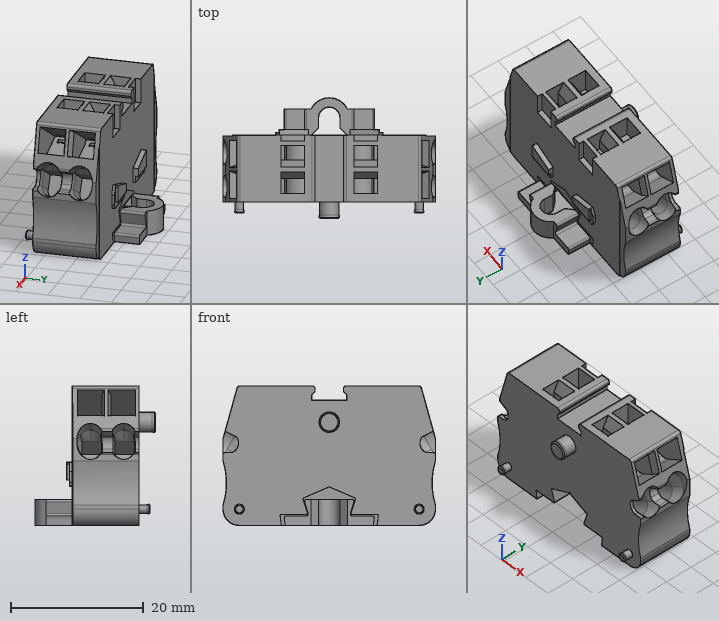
import cadquery as cq
import math

width = 31.97
height = 21.0
housing_depth = 9.97
back_skin = 0.1
back_skin_half_width = 14.55
back_face = housing_depth + back_skin
half_width = width / 2
shoulder_z = 13.08
top_half_width = 13.78
side_lean = math.atan2(half_width - top_half_width, height - shoulder_z)
corner_radius = 2.45
grip_top_z = 9.72
grip_bottom_z = 3.07
grip_depth = 0.5
top_corner_radius = 0.5

groove_half_width = 2.62
groove_lip_half_width = 2.1
groove_floor_z = 18.85
groove_wall_top_z = 19.65
groove_lip_z = groove_wall_top_z + groove_half_width - groove_lip_half_width
lip_radius = 0.45

recess_apex_z = 5.82
recess_profile = [(7.2, 0), (7.42, 1.65), (3.2, 1.65), (4.0, 4.1)]
recess_radius = 0.2
foot_profile = [(6.62, 0), (6.8, 1.45), (3.07, 1.45), (3.8, 3.93)]
foot_radius = 0.3
foot_height = foot_profile[-1][1]
foot_back = 14.0
nose_radius = 3.05
slot_radius = 1.6
nose_y = 12.65
funnel_y = 11.15

row_pitch = 5.0

window_inner_x = 3.75
window_length = 3.55
window_width = 3.23
windows_y = (1.28, 5.3)
window_slope_width = 1.0
window_slope_depth = 1.92
window_drum_radius = 2.4
window_drum_x = 4.4
window_drum_top_depth = 3.85
window_depth = 5.75

half_window_y = 9.2
half_window_depth = 3.85

entry_tilt = math.radians(30.0)

pocket_bottom_z = 16.53
pocket_top_z = 20.35
pocket_width = 4.1
pockets_y = (0.58, 5.18)
pocket_floor_length = 3.55
pocket_end_radius = 1.92
pocket_end_slope = math.radians(45.0)
pocket_flare = 0.4
pocket_flare_depth = 1.28

entry_rows_y = (2.33, 2.33 + row_pitch)
throat_x = -14.95
throat_z = 12.18
mouth_size = (2.2, 2.62)
throat_size = (2.0, 2.5)
mouth_length = 4.48
taper_length = 2.15
wire_hole_radius = 1.47
wire_hole_roof = 1.73
wire_hole_floor = -2.05
wire_hole_shift = 0.15
wire_hole_length = 3.85

channel_length = 6.4
channel_top_z = 14.77
channel_bottom_z = 10.58
channel_roof = [(-15.57, 14.15), (-13.95, 13.3)]
channel_back_middle = (-13.65, 12.55)
channel_back_bottom = (-13.95, 11.5)
channel_bend_middle = (-14.25, 11.15)
channel_floor = [(-14.67, 10.95), (-15.73, 10.95)]
channel_lip_middle = (-15.92, 10.87)
channel_overrun = 0.32

latch_base_thickness = 0.4
latch_thickness = 0.83
latch_base_profile = [
    (8.05, 6.52), (8.05, 8.12), (7.45, 9.53), (3.13, 8.2), (3.13, 5.88), (7.77, 5.88),
]
latch_profile = [(7.55, 6.85), (7.55, 9.25), (7.45, 9.53), (3.13, 8.2), (3.13, 6.85)]

main_pin_z = 15.55
main_pin_profile = [(0, 0), (3.0, 0), (3.0, 1.95), (3.07, 2.3), (2.62, 2.5), (0, 2.5)]
small_pin_x = half_width - corner_radius
small_pin_z = corner_radius
small_pin_profile = [(0, 0), (1.3, 0), (1.3, 1.15), (1.5, 1.47), (1.12, 1.65), (0, 1.65)]


def along_y(sketch, start, end):
    """Extrude a closed XZ sketch from Y = start to Y = end."""
    return sketch.extrude(start - end).translate((0, start, 0))


def mirrored(solid):
    """Add the copy on the other side of the X = 0 plane."""
    return solid.union(solid.mirror("YZ"))


def symmetric_prism(right_side, start, end):
    """Prism along Y whose profile is the given right-hand XZ points and their mirror images."""
    left_side = [(-x, z) for x, z in reversed(right_side) if x > 0]
    return along_y(cq.Workplane("XZ").polyline(right_side + left_side).close(), start, end)


def round_edges(prism, corners, middle_y, radius):
    """Round the Y-parallel edges at the given XZ corners and at their mirror images."""
    for x, z in corners:
        for side in (-1, 1):
            edge = cq.selectors.NearestToPointSelector((side * x, middle_y, z))
            prism = prism.edges(edge).fillet(radius)
    return prism


def make_outline(start, end):
    """Full outer profile, with the marker groove but without the recess."""
    grip_mid_z = (grip_top_z + grip_bottom_z) / 2
    right_half = (
        cq.Workplane("XZ")
        .lineTo(half_width - corner_radius, 0)
        .radiusArc((half_width, corner_radius), -corner_radius)
        .lineTo(half_width, grip_bottom_z)
        .threePointArc((half_width - grip_depth, grip_mid_z), (half_width, grip_top_z))
        .lineTo(half_width, shoulder_z)
        .lineTo(top_half_width, height)
        .lineTo(groove_lip_half_width + lip_radius, height)
        .radiusArc((groove_lip_half_width, height - lip_radius), -lip_radius)
        .lineTo(groove_lip_half_width, groove_lip_z)
        .lineTo(groove_half_width, groove_wall_top_z)
        .lineTo(groove_half_width, groove_floor_z)
        .lineTo(0, groove_floor_z)
        .close()
    )
    outline = mirrored(along_y(right_half, start, end))
    return round_edges(outline, [(top_half_width, height)], (start + end) / 2, top_corner_radius)


def make_housing():
    """Housing with the recess closed at the back by a thin skin."""
    recess = symmetric_prism(recess_profile + [(0, recess_apex_z)], 0, housing_depth)
    recess = round_edges(recess, recess_profile[1:], housing_depth / 2, recess_radius)
    skin_limits = cq.Workplane("XY").box(
        2 * back_skin_half_width, back_skin, height, centered=(True, False, False)
    ).translate((0, housing_depth, 0))
    skin = make_outline(0, back_face).intersect(skin_limits)
    return make_outline(0, housing_depth).cut(recess).union(skin)


def make_foot():
    """Foot behind the housing, with a round nose reaching past its flat back."""
    foot = symmetric_prism(foot_profile, housing_depth, foot_back)
    foot = round_edges(foot, foot_profile[1:], (housing_depth + foot_back) / 2, foot_radius)
    behind_housing = cq.Workplane("XY").box(
        width, foot_back, height, centered=(True, False, False)
    ).translate((0, housing_depth, 0))
    nose = cq.Workplane("XY").center(0, nose_y).circle(nose_radius).extrude(foot_height)
    return foot.union(nose.intersect(behind_housing))


def make_foot_slot():
    """Round-ended slot through the foot and the skin, opening out towards the housing."""
    funnel_half_width = slot_radius + funnel_y - housing_depth
    return (
        cq.Workplane("XY")
        .moveTo(-funnel_half_width, housing_depth)
        .lineTo(-slot_radius, funnel_y)
        .lineTo(-slot_radius, nose_y)
        .threePointArc((0, nose_y + slot_radius), (slot_radius, nose_y))
        .lineTo(slot_radius, funnel_y)
        .lineTo(funnel_half_width, housing_depth)
        .close()
        .extrude(foot_height)
    )


def make_window(front_y, slope_at_back):
    """Top opening on the +X side; its floor is a drum lying along Y."""
    back_y = front_y + window_width
    slope = -window_slope_width if slope_at_back else window_slope_width
    rib_y, outer_y = (back_y, front_y) if slope_at_back else (front_y, back_y)
    opening = (
        cq.Workplane("YZ")
        .polyline([
            (outer_y, height),
            (rib_y, height),
            (rib_y + slope, height - window_slope_depth),
            (rib_y + slope, height - window_depth),
            (outer_y, height - window_depth),
        ])
        .close()
        .extrude(window_length)
        .translate((window_inner_x, 0, 0))
    )
    drum_z = height - window_drum_top_depth - window_drum_radius
    drum = along_y(
        cq.Workplane("XZ").center(window_drum_x, drum_z).circle(window_drum_radius), front_y, back_y
    )
    return opening.cut(drum)


def make_half_window():
    """Opening on the +X side cut open by the back face."""
    return cq.Workplane("XY").box(
        window_length, back_face - half_window_y, half_window_depth, centered=False
    ).translate((window_inner_x, half_window_y, height - half_window_depth))


def make_pocket(front_y, rib_at_back):
    """Pocket in the -X side; the wall next to the middle rib flares out at the mouth."""
    back_y = front_y + pocket_width
    inward = (math.cos(entry_tilt), -math.sin(entry_tilt))
    upward = (math.sin(entry_tilt), math.cos(entry_tilt))

    def side_face_x(z):
        return -half_width + (z - shoulder_z) * math.tan(side_lean)

    def inside(start, along, up):
        return tuple(start[i] + along * inward[i] + up * upward[i] for i in (0, 1))

    lower_lip = (side_face_x(pocket_bottom_z), pocket_bottom_z)
    upper_lip = (side_face_x(pocket_top_z), pocket_top_z)
    roof_offset = (upper_lip[0] - lower_lip[0]) * upward[0] + (upper_lip[1] - lower_lip[1]) * upward[1]

    def on_bend(angle):
        along = pocket_floor_length + pocket_end_radius * math.sin(angle)
        return along, pocket_end_radius * (1 - math.cos(angle))

    bend_along, bend_up = on_bend(pocket_end_slope)
    roof_length = bend_along + (roof_offset - bend_up) / math.tan(pocket_end_slope)
    pocket = along_y(
        cq.Workplane("XZ")
        .moveTo(*lower_lip)
        .lineTo(*inside(lower_lip, pocket_floor_length, 0))
        .threePointArc(
            inside(lower_lip, *on_bend(pocket_end_slope / 2)), inside(lower_lip, bend_along, bend_up)
        )
        .lineTo(*inside(lower_lip, roof_length, roof_offset))
        .lineTo(*upper_lip)
        .close(),
        front_y, back_y,
    )

    rib_y = back_y if rib_at_back else front_y
    narrow_y = rib_y - pocket_flare if rib_at_back else rib_y + pocket_flare
    rib_side = (
        cq.Workplane(cq.Plane(
            origin=(lower_lip[0], 0, lower_lip[1]),
            xDir=(math.cos(side_lean), 0, -math.sin(side_lean)),
            normal=(math.sin(side_lean), 0, math.cos(side_lean)),
        ))
        .polyline([
            (0, rib_y), (pocket_flare_depth, narrow_y), (roof_length, narrow_y), (roof_length, rib_y),
        ])
        .close()
        .extrude(roof_length, both=True)
    )
    return pocket.cut(rib_side)


def make_wire_entry(center_y):
    """Wire entry in the -X side, built along its sloping axis."""
    throat = cq.Workplane(cq.Plane(
        origin=(throat_x, center_y, throat_z),
        xDir=(0, 1, 0),
        normal=(math.cos(entry_tilt), 0, -math.sin(entry_tilt)),
    ))
    spring = wire_hole_floor + wire_hole_radius

    def hole_section(plane):
        return (
            plane.center(-wire_hole_shift, 0)
            .moveTo(wire_hole_radius, wire_hole_roof)
            .lineTo(-wire_hole_radius, wire_hole_roof)
            .lineTo(-wire_hole_radius, spring)
            .threePointArc((0, wire_hole_floor), (wire_hole_radius, spring))
            .close()
        )

    mouth = (
        throat.workplane(offset=-mouth_length)
        .ellipse(*mouth_size)
        .workplane(offset=mouth_length)
        .ellipse(*throat_size)
        .loft()
    )
    taper = hole_section(throat.ellipse(*throat_size).workplane(offset=taper_length)).loft()
    hole = hole_section(throat.workplane(offset=taper_length)).extrude(wire_hole_length)
    return mouth.union(taper).union(hole)


def make_channel():
    """Rounded groove along Y in the -X side, running through both wire entries."""
    outside_x = -half_width - channel_overrun
    return along_y(
        cq.Workplane("XZ")
        .moveTo(outside_x, channel_top_z)
        .lineTo(channel_roof[0][0], channel_top_z)
        .lineTo(*channel_roof[0])
        .lineTo(*channel_roof[1])
        .threePointArc(channel_back_middle, channel_back_bottom)
        .threePointArc(channel_bend_middle, channel_floor[0])
        .lineTo(*channel_floor[1])
        .threePointArc(channel_lip_middle, (-half_width, channel_bottom_z))
        .lineTo(outside_x, channel_bottom_z)
        .close(),
        0, channel_length,
    )


def make_latch():
    """Two-step latch plate on the +X side of the back."""
    base = cq.Workplane("XZ").polyline(latch_base_profile).close()
    latch = cq.Workplane("XZ").polyline(latch_profile).close()
    base = along_y(base, housing_depth, back_face + latch_base_thickness)
    return base.union(along_y(latch, housing_depth, back_face + latch_thickness))


def make_pin(profile, x, z):
    """Turned pin on the front face; the profile lists (diameter, distance from the face)."""
    half_section = [(diameter / 2, -distance) for diameter, distance in profile]
    outline = cq.Workplane("XY").polyline(half_section).close()
    return outline.revolve(360, (0, 0, 0), (0, 1, 0)).translate((x, 0, z))


body = make_housing().union(make_foot()).cut(make_foot_slot())

for row, is_front in enumerate((True, False)):
    body = body.cut(mirrored(make_window(windows_y[row], is_front)))
    body = body.cut(mirrored(make_pocket(pockets_y[row], is_front)))
    body = body.cut(mirrored(make_wire_entry(entry_rows_y[row])))
body = body.cut(mirrored(make_half_window()))
body = body.cut(mirrored(make_channel()))

body = body.union(mirrored(make_latch()))
body = body.union(make_pin(main_pin_profile, 0, main_pin_z))
body = body.union(mirrored(make_pin(small_pin_profile, small_pin_x, small_pin_z)))

result = body